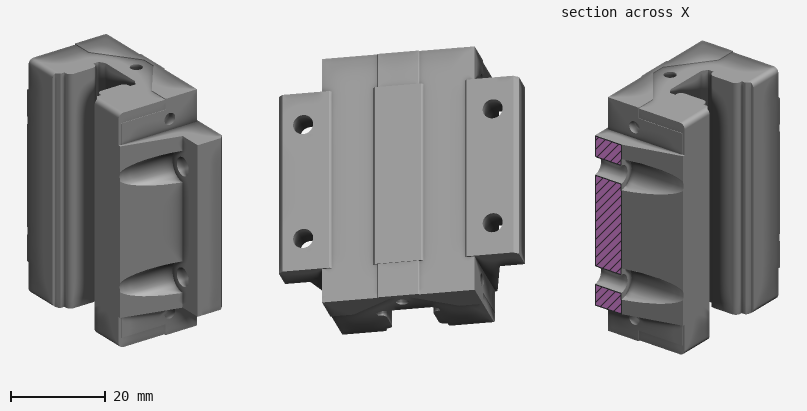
import cadquery as cq
import math


length = 55.5
width = 52.0
height = 20.7

block_length = 40.3
flange_thickness = 7.0
flange_corner = 1.0
web_top_half_width = 20.55
web_bottom_half_width = 17.0

recess_depth = 0.45
recess_inner = 5.0
recess_outer = 14.9

hole_spacing_x = 2 * web_top_half_width
hole_spacing_z = 26.0
hole_diameter = 4.35
scallop_radius = 3.7

slot_ceiling = height - 8.6
ceiling_half_width = 5.4
groove_half_width = 6.7
groove_top = slot_ceiling - 0.85
lip_half_width = 5.05
lip_radius = 1.3
lip_top = height - 10.9
lip_bottom = height - 18.3
mouth_half_width = 7.65
mouth_height = 0.6
mouth_flare_top = 1.35

cap_half_width = 16.55
cap_bottom = mouth_height
cap_rise_height = 0.3
cap_rise_base = 4.6
seal_inset = 0.1
seal_recess = 0.2
seal_lip_length = 2.55
seal_corner_radius = 1.2
seal_peak_half_width = 1.7
seal_peak_y = height - 1.2
seal_shoulder_half_width = 11.5

port_diameter = 2.8
port_depth = 2.2
port_tip_angle = 118.0
end_port_y = height - 4.45
side_port_y = height - 7.5
side_port_inset = 5.0


def mirrored_outline(right_side):
    """Close a symmetric XY outline from its right side, listed from bottom to top."""
    left_side = [(-x, y) for x, y in reversed(right_side)]
    return cq.Workplane("XY").polyline(right_side + left_side).close()


def extrude_centered(outline, depth):
    return outline.extrude(depth / 2, both=True)


def make_block():
    flange_bottom = height - flange_thickness
    recess_floor = height - recess_depth
    outline = mirrored_outline([
        (web_bottom_half_width, 0),
        (web_top_half_width, flange_bottom),
        (width / 2, flange_bottom),
        (width / 2, height - flange_corner),
        (width / 2 - flange_corner, height),
        (recess_outer, height),
        (recess_outer - recess_depth, recess_floor),
        (recess_inner + recess_depth, recess_floor),
        (recess_inner, height),
    ])
    return extrude_centered(outline, block_length)


def make_caps():
    """Both end caps as one full-length bar."""
    side_top = height - recess_depth
    outline = mirrored_outline([
        (cap_half_width, cap_bottom),
        (cap_half_width, side_top),
        (cap_rise_base, side_top),
        (cap_rise_base - cap_rise_height, side_top + cap_rise_height),
    ])
    return extrude_centered(outline, length)


def seal_outline(half_width):
    return mirrored_outline([
        (half_width, 0),
        (half_width, slot_ceiling),
        (seal_shoulder_half_width, slot_ceiling),
        (seal_peak_half_width, seal_peak_y),
    ])


def make_seal_recess():
    """Space cleared at both ends of the caps for the seals."""
    recess_bar = extrude_centered(seal_outline(cap_half_width), length)
    kept_middle = extrude_centered(seal_outline(cap_half_width), length - 2 * seal_lip_length)
    return recess_bar.cut(kept_middle)


def make_seals():
    """Both seals as one bar: a face plate at each end and a bottom strip, with rounded end corners."""
    outline = seal_outline(cap_half_width - seal_inset)
    bar = extrude_centered(outline, length - 2 * seal_recess)
    return bar.faces("<Y").edges("|X").fillet(seal_corner_radius)


def make_rail_slot():
    arc_x = lip_half_width + lip_radius
    bulge = lip_radius * math.sqrt(0.5)
    upper_arc_y = lip_top - lip_radius
    lower_arc_y = lip_bottom + lip_radius
    half = (
        cq.Workplane("XY")
        .moveTo(0, slot_ceiling)
        .lineTo(ceiling_half_width, slot_ceiling)
        .lineTo(groove_half_width, groove_top)
        .lineTo(groove_half_width, lip_top)
        .lineTo(arc_x, lip_top)
        .threePointArc((arc_x - bulge, upper_arc_y + bulge), (lip_half_width, upper_arc_y))
        .lineTo(lip_half_width, lower_arc_y)
        .threePointArc((arc_x - bulge, lower_arc_y - bulge), (arc_x, lip_bottom))
        .lineTo(groove_half_width, lip_bottom)
        .lineTo(groove_half_width, mouth_flare_top)
        .lineTo(mouth_half_width, mouth_height)
        .lineTo(mouth_half_width, 0)
        .lineTo(0, 0)
        .close()
    )
    half_slot = extrude_centered(half, length)
    return half_slot.union(half_slot.mirror("YZ"))


def make_flange_cuts():
    """Through holes with scallops that clear the web below the flange."""
    def cylinders(diameter, tall):
        return (
            cq.Workplane("XZ")
            .rarray(hole_spacing_x, hole_spacing_z, 2, 2)
            .circle(diameter / 2)
            .extrude(-tall)
        )

    return cylinders(hole_diameter, height).union(
        cylinders(2 * scallop_radius, height - flange_thickness)
    )


def make_port(position, direction):
    """Blind hole with a drill-point bottom, entering at position along direction."""
    radius = port_diameter / 2
    tip_length = radius / math.tan(math.radians(port_tip_angle / 2))
    start = cq.Vector(*position)
    axis = cq.Vector(*direction)
    bore = cq.Solid.makeCylinder(radius, port_depth, start, axis)
    tip = cq.Solid.makeCone(radius, 0, tip_length, start + axis * port_depth, axis)
    return bore.fuse(tip)


body = make_caps().cut(make_seal_recess()).union(make_seals()).union(make_block())
body = body.cut(make_rail_slot()).cut(make_flange_cuts())

side_port_z = length / 2 - side_port_inset
for end in (-1, 1):
    seal_face_z = end * (length / 2 - seal_recess)
    body = body.cut(make_port((0, end_port_y, seal_face_z), (0, 0, -end)))
    for side in (-1, 1):
        entry = (side * cap_half_width, side_port_y, end * side_port_z)
        body = body.cut(make_port(entry, (-side, 0, 0)))

result = body